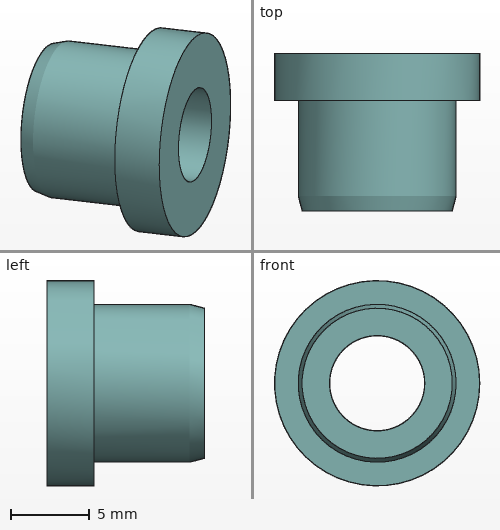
import cadquery as cq

flange_diameter = 13.0
body_diameter = 10.0
bore_diameter = 6.0
total_length = 10.0
flange_thickness = 3.0

taper_length = 0.94
taper_depth = 0.25

flange_radius = flange_diameter / 2
body_radius = body_diameter / 2
bore_radius = bore_diameter / 2
flange_face = total_length - flange_thickness

half_section = (
    cq.Workplane("XY")
    .moveTo(bore_radius, 0)
    .lineTo(body_radius - taper_depth, 0)
    .lineTo(body_radius, taper_length)
    .lineTo(body_radius, flange_face)
    .lineTo(flange_radius, flange_face)
    .lineTo(flange_radius, total_length)
    .lineTo(bore_radius, total_length)
    .close()
)

result = half_section.revolve(360, (0, 0, 0), (0, 1, 0))